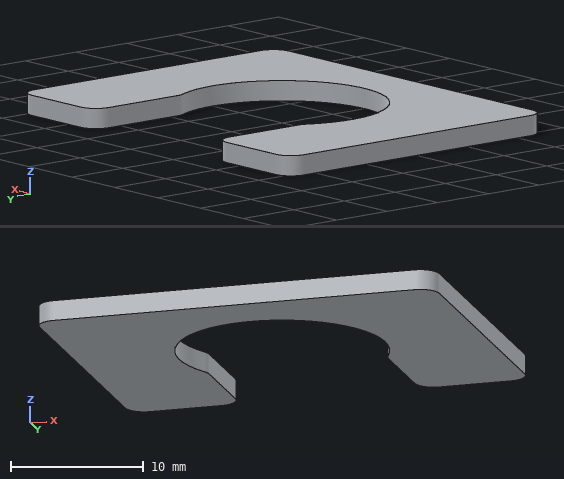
import cadquery as cq

width = 31.5
depth = 25.4
thickness = 1.58
corner_radius = 1.5

seat_diameter = 16.22
slot_width = 14.1
neck_radius = 1.5


def make_plate():
    return cq.Workplane("XY").rect(width, depth).extrude(thickness)


def make_opening():
    seat = cq.Workplane("XY").circle(seat_diameter / 2).extrude(thickness)
    slot = (
        cq.Workplane("XY")
        .center(0, depth / 4)
        .rect(slot_width, depth / 2)
        .extrude(thickness)
    )
    return seat.union(slot)


def round_edges(body):
    body = body.edges("|Z").edges("<Y or >Y").fillet(corner_radius)

    neck_y = ((seat_diameter / 2) ** 2 - (slot_width / 2) ** 2) ** 0.5
    half_slot = slot_width / 2
    for neck_x in (-half_slot, half_slot):
        neck = cq.selectors.NearestToPointSelector((neck_x, neck_y, thickness / 2))
        body = body.edges("|Z").edges(neck).fillet(neck_radius)
    return body


result = round_edges(make_plate().cut(make_opening()))